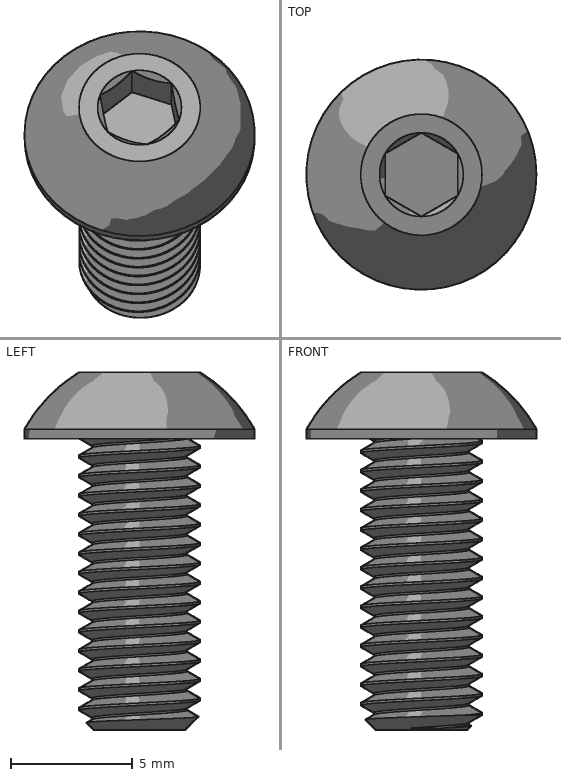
import cadquery as cq
import math

total_length = 14.75
head_diameter = 9.5
head_height = 2.75
rim_height = 0.4
dome_sagitta = 0.2

thread_diameter = 5.0
thread_turns = 15
thread_depth = 0.53
tip_diameter = 3.78
root_height = 0.27
flank_angle = math.radians(30)

socket_flats = 3.0
socket_depth = 1.92
socket_countersink_angle = math.radians(45)

head_radius = head_diameter / 2
thread_radius = thread_diameter / 2
root_radius = thread_radius - thread_depth
shank_length = total_length - head_height
pitch = shank_length / thread_turns
crest_width = pitch / 8


def make_head():
    """Revolved head: short cylindrical rim, domed side, flat top."""
    return (
        cq.Workplane("XZ")
        .moveTo(0, shank_length)
        .lineTo(head_radius, shank_length)
        .lineTo(head_radius, shank_length + rim_height)
        .sagittaArc((thread_radius, total_length), -dome_sagitta)
        .lineTo(0, total_length)
        .close()
        .revolve(360, (0, 0), (0, 1))
    )


def make_thread_ridge(start, height):
    """Right-handed helical ridge whose crest passes through height start on the +X side."""
    root_embed = 0.03
    base_radius = root_radius - root_embed
    crest_half = crest_width / 2
    base_half = crest_half + (thread_depth + root_embed) * math.tan(flank_angle)
    corners = [
        (base_radius, start - base_half),
        (thread_radius, start - crest_half),
        (thread_radius, start + crest_half),
        (base_radius, start + base_half),
    ]
    edges = [
        cq.Wire.makeHelix(pitch, height, radius, center=cq.Vector(0, 0, z))
        for radius, z in corners
    ]
    faces = []
    for edge, next_edge in zip(edges, edges[1:] + edges[:1]):
        faces += cq.Face.makeRuledSurface(edge, next_edge).Faces()
    start_points = [edge.startPoint() for edge in edges]
    end_points = [edge.endPoint() for edge in edges]
    for points in (start_points, end_points):
        faces.append(cq.Face.makeFromWires(cq.Wire.makePolygon(points, close=True)))
    return cq.Workplane(cq.Solid.makeSolid(cq.Shell.makeShell(faces)))


def make_shank():
    """Threaded shank: core and ridge overrun both ends, then are trimmed to a chamfered rod."""
    turns_below = 2
    turns_above = 1
    start = root_height + pitch / 2 - turns_below * pitch
    ridge_height = shank_length + (turns_below + turns_above) * pitch
    core = (
        cq.Workplane("XY", origin=(0, 0, start - pitch))
        .circle(root_radius)
        .extrude(ridge_height + 2 * pitch)
    )
    tip_chamfer = (thread_diameter - tip_diameter) / 2
    rod = cq.Workplane("XY").circle(thread_radius).extrude(shank_length)
    rod = rod.faces("<Z").chamfer(tip_chamfer)
    return rod.intersect(core.union(make_thread_ridge(start, ridge_height), clean=False), clean=False)


def make_socket():
    """Hexagonal socket, corners on the Y axis, with a conical lead-in."""
    corner_radius = socket_flats / 2 / math.cos(math.pi / 6)
    cone_depth = corner_radius * math.tan(socket_countersink_angle)
    hexagon = (
        cq.Workplane("XY", origin=(0, 0, total_length))
        .transformed(rotate=(0, 0, 90))
        .polygon(6, 2 * corner_radius)
        .extrude(-socket_depth)
    )
    cone = cq.Workplane(
        obj=cq.Solid.makeCone(corner_radius, 0, cone_depth, cq.Vector(0, 0, total_length), cq.Vector(0, 0, -1))
    )
    return hexagon.union(cone)


result = make_shank().union(make_head()).cut(make_socket())